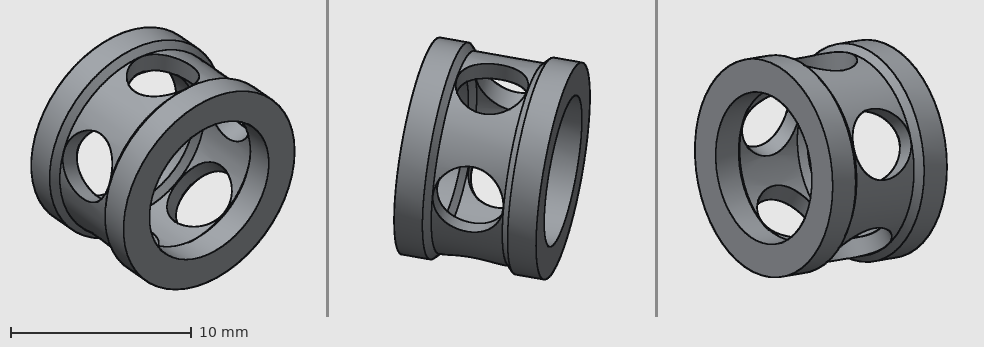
import cadquery as cq

outer_diameter = 12.2
bore_diameter = 8.5
recess_diameter = 9.27
length = 8.1
rim_width = 1.62
waist_depth = 0.4
hole_diameter = 4.0
hole_count = 5

outer_radius = outer_diameter / 2
bore_radius = bore_diameter / 2
recess_radius = recess_diameter / 2
waist_radius = outer_radius - waist_depth
rim_inner_x = length / 2 - rim_width
waist_half_width = rim_inner_x - waist_depth
recess_half_width = rim_inner_x - (recess_radius - bore_radius)


def revolve_about_x(profile):
    """Full turn of a closed (axial, radial) profile about the X axis."""
    return cq.Workplane("XY").polyline(profile).close().revolve(360, (0, 0, 0), (1, 0, 0))


def spool_body():
    """Revolve the rims, sloped flanks and waist around the X axis."""
    profile = [
        (-length / 2, bore_radius),
        (-length / 2, outer_radius),
        (-rim_inner_x, outer_radius),
        (-waist_half_width, waist_radius),
        (waist_half_width, waist_radius),
        (rim_inner_x, outer_radius),
        (length / 2, outer_radius),
        (length / 2, bore_radius),
    ]
    return revolve_about_x(profile)


def bore_recess():
    """Cutter that widens the bore between the rims, with sloped flanks like the waist."""
    profile = [
        (-rim_inner_x, 0),
        (-rim_inner_x, bore_radius),
        (-recess_half_width, recess_radius),
        (recess_half_width, recess_radius),
        (rim_inner_x, bore_radius),
        (rim_inner_x, 0),
    ]
    return revolve_about_x(profile)


def radial_hole(angle):
    """Cutter from the axis outward, turned about X away from +Z."""
    cutter = cq.Workplane("XY").circle(hole_diameter / 2).extrude(outer_radius)
    return cutter.rotate((0, 0, 0), (1, 0, 0), angle)


result = spool_body().cut(bore_recess())
for index in range(hole_count):
    result = result.cut(radial_hole(index * 360 / hole_count))